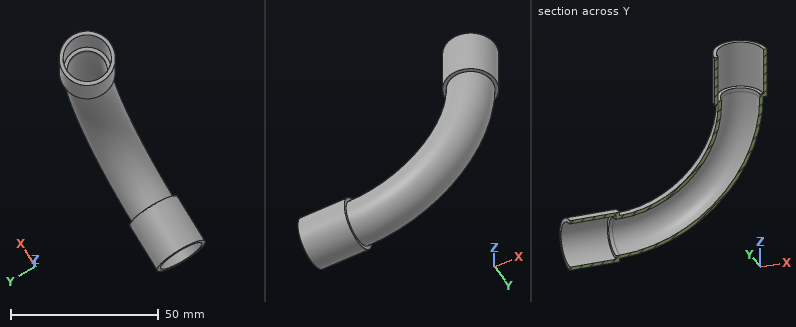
import cadquery as cq

overall = 71.8
socket_diameter = 19.2
socket_length = 18.25
socket_bore = 16.4
tube_diameter = 16.6
tube_bore = 13.7
stop_thickness = 1.45

bend_radius = overall - socket_diameter / 2 - socket_length
bend_end = socket_length + bend_radius
bore_depth = socket_length - stop_thickness


def rod_along_x(diameter, length):
    """Rod from the open end of the horizontal socket."""
    return cq.Workplane("YZ").circle(diameter / 2).extrude(length)


def rod_down_z(diameter, length):
    """Rod from the open end of the upright socket."""
    mouth = cq.Workplane("XY", origin=(bend_end, 0, bend_end))
    return mouth.circle(diameter / 2).extrude(-length)


def bend(diameter):
    """Quarter-turn rod between the inner ends of the two sockets."""
    start = cq.Workplane("YZ", origin=(socket_length, 0, 0))
    return start.circle(diameter / 2).revolve(90, (0, bend_radius, 0), (-1, bend_radius, 0))


def elbow(socket_size, socket_depth, tube_size):
    """Bent rod with a larger cylinder at each end."""
    body = bend(tube_size)
    for rod in (rod_along_x, rod_down_z):
        body = body.union(rod(tube_size, socket_length))
        body = body.union(rod(socket_size, socket_depth))
    return body


outside = elbow(socket_diameter, socket_length, tube_diameter)
passage = elbow(socket_bore, bore_depth, tube_bore)
result = outside.cut(passage)